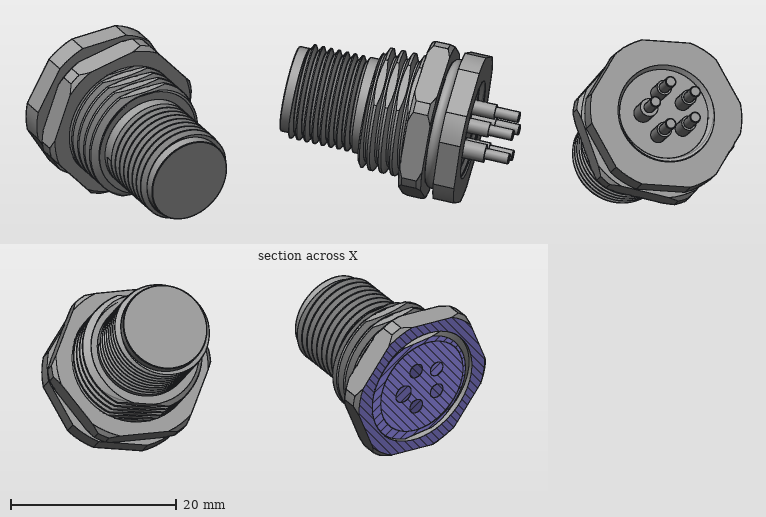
import cadquery as cq
import math


ACROSS_FLATS = 18.0
FLANGE_ROUND_DIA = 19.0
FLANGE_THICKNESS = 2.6

ORING_SECTION_DIA = 1.5
ORING_OUTER_DIA = 16.0
ORING_INNER_RADIUS = ORING_OUTER_DIA / 2 - ORING_SECTION_DIA
NECK_END = FLANGE_THICKNESS + ORING_SECTION_DIA

NUT_THICKNESS = 2.8
NUT_ROUND_DIA = 20.0
NUT_CHAMFER = 0.5
NUT_ANGLE = 9.8

PANEL_END = 12.6
PANEL_RADIUS = 7.5
PANEL_ROOT_RADIUS = 6.6
PANEL_PITCH = 25.4 / 18
PANEL_CREST = 0.33
PANEL_ROOT = 0.25
PANEL_GROOVE_START = 3.39
PANEL_TURNS = 8
PANEL_FLATS = 13.6
PANEL_END_CHAMFER_LENGTH = 0.4
PANEL_END_CHAMFER_DEPTH = 0.6

PLUG_RADIUS = 5.85
PLUG_ROOT_RADIUS = 5.2
PLUG_PITCH = 1.0
PLUG_CREST = 0.15
PLUG_ROOT = 0.08
PLUG_GROOVE_START = 13.55
PLUG_START_ANGLE = 180
PLUG_TURNS = 9
PLUG_THREAD_END = 21.52
TIP_RADIUS = 5.25
TIP_END = 22.78
TIP_CHAMFER = 0.08

MOUTH_RADIUS = 5.4
MOUTH_ROOT_RADIUS = 6.05
MOUTH_PITCH = 1.0
MOUTH_CREST = 0.2
MOUTH_ROOT = 0.1
MOUTH_GROOVE_START = -0.5
MOUTH_TURNS = 1.5
MOUTH_CHAMFER = MOUTH_ROOT_RADIUS - MOUTH_RADIUS

INSERT_FACE = 0.75
INSERT_RADIUS = 6.15
INSERT_LENGTH = 8.0

PIN_COUNT = 5
PIN_CIRCLE_RADIUS = 2.75
PIN_START = -5.22
PIN_TIP_DIA = 1.3
PIN_TIP_LENGTH = 2.97
PIN_TIP_CHAMFER = 0.08
PIN_BODY_DIA = 1.8
KEY_PIN_BODY_DIA = 2.2
PIN_DEPTH_IN_INSERT = 4.0

SEAM_ANGLE = 60
OVERCUT = 0.05


def cylinder(radius, start, end):
    return cq.Workplane("XY", origin=(0, 0, start)).circle(radius).extrude(end - start)


def thread_blank(radius, start, end):
    return cylinder(radius, start, end).rotate((0, 0, 0), (0, 0, 1), SEAM_ANGLE)


def hexagon(start, thickness):
    across_corners = ACROSS_FLATS / math.cos(math.radians(30))
    return cq.Workplane("XY", origin=(0, 0, start)).polygon(6, across_corners).extrude(thickness)


def thread_groove(crest_radius, root_radius, pitch, crest, root, start, turns, start_angle=0):
    """Helical V groove with a narrow flat root, as a cutter; works outside or inside a bore."""
    half_root = root / 2
    half_mouth = (pitch - crest) / 2
    toward_open = math.copysign(1, crest_radius - root_radius)
    flank_slope = (half_mouth - half_root) / abs(crest_radius - root_radius)
    open_radius = crest_radius + toward_open * OVERCUT
    half_open = half_mouth + flank_slope * OVERCUT
    profile = [
        (root_radius, -half_root),
        (open_radius, -half_open),
        (open_radius, half_open),
        (root_radius, half_root),
    ]
    helix = cq.Workplane(obj=cq.Wire.makeHelix(pitch, pitch * turns, root_radius))
    groove = cq.Workplane("XZ").polyline(profile).close().sweep(helix, isFrenet=True)
    return groove.rotate((0, 0, 0), (0, 0, 1), start_angle).translate((0, 0, start))


def make_flange():
    flange = hexagon(0, FLANGE_THICKNESS)
    flange = flange.intersect(cylinder(FLANGE_ROUND_DIA / 2, 0, FLANGE_THICKNESS))
    mouth_groove = thread_groove(
        MOUTH_RADIUS, MOUTH_ROOT_RADIUS, MOUTH_PITCH, MOUTH_CREST, MOUTH_ROOT,
        MOUTH_GROOVE_START, MOUTH_TURNS,
    )
    lead_in = cq.Solid.makeCone(MOUTH_ROOT_RADIUS, MOUTH_RADIUS, MOUTH_CHAMFER)
    flange = flange.cut(thread_blank(MOUTH_RADIUS, 0, FLANGE_THICKNESS))
    return flange.cut(mouth_groove).cut(cq.Workplane(obj=lead_in))


def make_panel_section():
    section = cylinder(PANEL_RADIUS, NECK_END, PANEL_END)
    section = section.faces(">Z").chamfer(PANEL_END_CHAMFER_LENGTH, PANEL_END_CHAMFER_DEPTH)
    section = section.cut(thread_groove(
        PANEL_RADIUS, PANEL_ROOT_RADIUS, PANEL_PITCH, PANEL_CREST, PANEL_ROOT,
        PANEL_GROOVE_START, PANEL_TURNS,
    ))
    flats = cq.Workplane("XY").box(3 * PANEL_RADIUS, PANEL_FLATS, 3 * PANEL_END)
    return section.intersect(flats)


def make_plug_section():
    section = thread_blank(PLUG_RADIUS, PANEL_END, PLUG_THREAD_END)
    section = section.cut(thread_groove(
        PLUG_RADIUS, PLUG_ROOT_RADIUS, PLUG_PITCH, PLUG_CREST, PLUG_ROOT,
        PLUG_GROOVE_START, PLUG_TURNS, PLUG_START_ANGLE,
    ))
    tip = cylinder(TIP_RADIUS, PLUG_THREAD_END, TIP_END).faces(">Z").chamfer(TIP_CHAMFER)
    return section.union(tip)


def make_housing():
    neck = cylinder(ORING_INNER_RADIUS, FLANGE_THICKNESS, NECK_END)
    housing = make_flange().union(neck).union(make_panel_section()).union(make_plug_section())
    seat = cylinder(INSERT_RADIUS, INSERT_FACE, INSERT_FACE + INSERT_LENGTH)
    return housing.cut(seat)


def make_nut():
    rounding = cylinder(NUT_ROUND_DIA / 2, NECK_END, NECK_END + NUT_THICKNESS)
    rounding = rounding.faces("<Z or >Z").chamfer(NUT_CHAMFER)
    nut = hexagon(NECK_END, NUT_THICKNESS).rotate((0, 0, 0), (0, 0, 1), NUT_ANGLE).intersect(rounding)
    return nut.cut(cylinder(PANEL_RADIUS, NECK_END, NECK_END + NUT_THICKNESS))


def make_oring():
    section_radius = ORING_SECTION_DIA / 2
    ring_radius = ORING_OUTER_DIA / 2 - section_radius
    ring = cq.Solid.makeTorus(ring_radius, section_radius)
    return cq.Workplane("XY").add(ring).translate((0, 0, FLANGE_THICKNESS + section_radius))


def make_pin(index):
    body_dia = KEY_PIN_BODY_DIA if index == 0 else PIN_BODY_DIA
    step = PIN_START + PIN_TIP_LENGTH
    tip = cylinder(PIN_TIP_DIA / 2, PIN_START, step).faces("<Z").chamfer(PIN_TIP_CHAMFER)
    pin = tip.union(cylinder(body_dia / 2, step, INSERT_FACE + PIN_DEPTH_IN_INSERT))
    angle = 360 / PIN_COUNT * index
    return pin.translate((PIN_CIRCLE_RADIUS, 0, 0)).rotate((0, 0, 0), (0, 0, 1), angle)


def make_insert(pins):
    insert = cylinder(INSERT_RADIUS, INSERT_FACE, INSERT_FACE + INSERT_LENGTH)
    for pin in pins:
        insert = insert.cut(pin)
    return insert


housing = make_housing()
nut = make_nut()
oring = make_oring()
pins = [make_pin(index) for index in range(PIN_COUNT)]
insert = make_insert(pins)

bodies = [housing, nut, oring, insert, *pins]
result = cq.Compound.makeCompound(
    [body.rotate((0, 0, 0), (1, 1, 1), 120).val() for body in bodies]
)